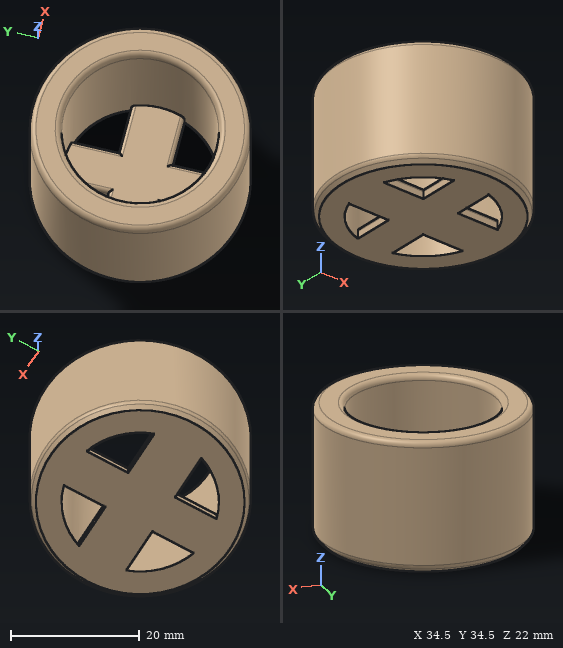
import cadquery as cq

outer_diameter = 34.5
bore_diameter = 24.5
height = 22.0
edge_size = 1.0

bar_width_along_x = 7.0
bar_width_along_y = 8.52
bar_thickness = 2.0
bar_edge_radius = 0.7


def make_sleeve():
    """Tube with a rounded top rim and a blended chamfer at the bottom."""
    body = cq.Workplane("XY").circle(outer_diameter / 2).extrude(height)
    body = body.faces("<Z").edges().chamfer(edge_size)
    chamfer_circle = cq.selectors.NearestToPointSelector((0, 0, edge_size))
    body = body.edges("%CIRCLE").edges(chamfer_circle).fillet(edge_size)
    bore = cq.Workplane("XY").circle(bore_diameter / 2).extrude(height)
    return body.cut(bore).faces(">Z").edges().fillet(edge_size)


def make_cross():
    """Two crossing bars with rounded upper edges, ending inside the sleeve wall."""
    bar_length = (bore_diameter + outer_diameter) / 2
    bar_on_x = cq.Workplane("XY").rect(bar_length, bar_width_along_y).extrude(bar_thickness)
    bar_on_y = cq.Workplane("XY").rect(bar_width_along_x, bar_length).extrude(bar_thickness)
    cross = bar_on_x.union(bar_on_y)
    return cross.faces(">Z").edges().fillet(bar_edge_radius)


def make_part():
    """Sleeve with the cross trimmed to the bore and joined to its wall."""
    bore_plug = cq.Workplane("XY").circle(bore_diameter / 2).extrude(bar_thickness)
    return make_sleeve().union(make_cross().intersect(bore_plug))


result = make_part()